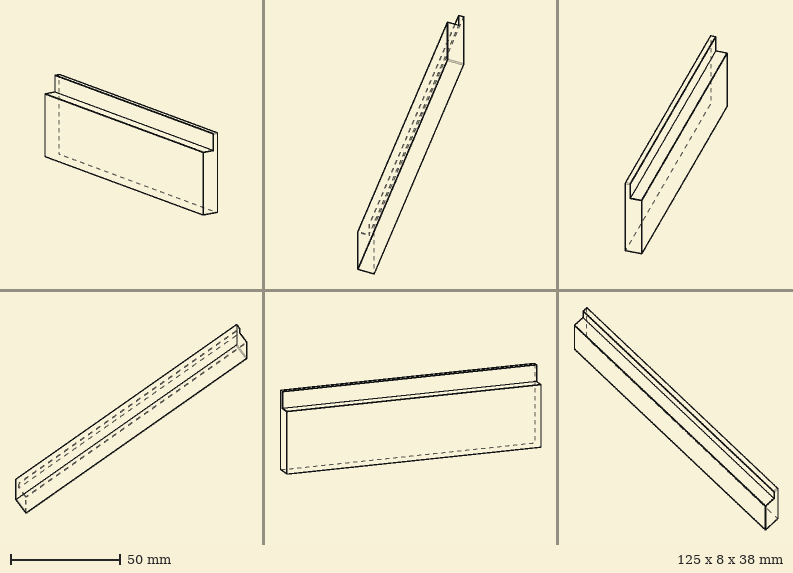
import cadquery as cq

length = 125.0
depth = 8.0
height = 38.0

lip_thickness = 2.5
lip_height = 8.0

corner_radius = 0.5
edge_break = 0.2

plate = (
    cq.Workplane("XY")
    .box(length, depth, height)
    .edges("|Y")
    .fillet(corner_radius)
)

step = (
    cq.Workplane("XY")
    .box(length, depth - lip_thickness, lip_height, centered=(True, False, False))
    .translate((0, -depth / 2, height / 2 - lip_height))
)
stepped_plate = plate.cut(step)

result = (
    stepped_plate
    .faces("<Y or <X or >X or <Z or >Z")
    .edges("not >Y")
    .chamfer(edge_break)
)